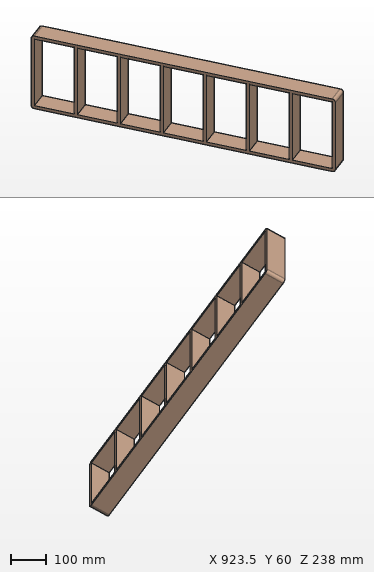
import cadquery as cq

length = 923.5
depth = 60.0
height = 238.0
wall = 10.0
corner_radius = wall

opening_count = 7
opening_width = (length - (opening_count + 1) * wall) / opening_count
opening_height = height - 2 * wall
opening_pitch = opening_width + wall

frame = cq.Workplane("XZ").rect(length, height).extrude(depth / 2, both=True)
frame = frame.edges("|Y").fillet(corner_radius)

openings = (
    cq.Workplane("XZ")
    .rarray(opening_pitch, 9, opening_count, 1)
    .rect(opening_width, opening_height)
    .extrude(depth, both=True)
)

result = frame.cut(openings)